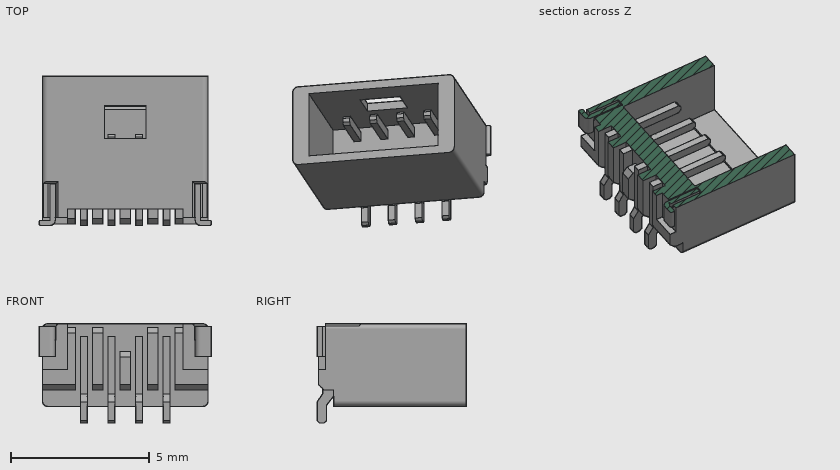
import cadquery as cq


HOUSING_WIDTH = 6.0
HOUSING_HEIGHT = 3.0
MOUTH_Y = 5.41
REAR_WALL_Y = 0.6
CORNER_RADIUS = 0.2
HALF_WIDTH = HOUSING_WIDTH / 2

SIDE_WALL = 0.6
ROOF = 0.3
FLOOR = 0.3
CAVITY_START_Y = 1.5
FLOOR_STEP = 0.1
FLOOR_STEP_Y = 4.305

WINDOW_WIDTH = 1.485
WINDOW_START_Y = 3.16
WINDOW_END_Y = 4.35

PITCH = 1.0
RIB_WIDTH = 0.38
END_RIB_CENTER_X = 2 * PITCH
RIB_REAR_Y = 0.05
RIB_BOTTOM = 0.6
RIB_CHAMFER = 0.2
TALL_RIB_TOP = 2.86
SHORT_RIB_TOP = 1.995
CORNER_INNER_X = 2.09
CORNER_REAR_Y = 0.3
LEDGE_TOP = 1.335

CONTACT_COUNT = 4
CONTACT_WIDTH = 0.255
CONTACT_REAR_Y = 0.2
CONTACT_TOP = 2.54
CONTACT_THICKNESS = 0.35
CONTACT_TIP_Y = 3.3
CONTACT_TIP_CHAMFER = 0.1
TAIL_BOTTOM = -0.6
TAIL_CHAMFER = 0.095
TAIL_BEND_REAR_TOP = 0.46
TAIL_BEND_REAR_BOTTOM = 0.17
TAIL_BEND_INNER_TOP = 0.37
TAIL_BEND_INNER_BOTTOM = 0.05

TAB_OUTER_X = 3.12
TAB_INNER_X = 2.535
TAB_THICKNESS = 0.195
TAB_LENGTH = 1.5
TAB_TOP = 2.9
TAB_BOTTOM = 1.805
TAB_END_RADIUS = 0.06
TAB_BEND_RADIUS = TAB_THICKNESS
SLOT_OUTER_X = 2.795
SLOT_INNER_X = 2.51
SLOT_END_Y = 1.52
SLOT_FLOOR = 2.4
LEAD_IN = 0.08


def block(x_range, y_range, z_range):
    """Box between the given limits on each axis."""
    size = [high - low for low, high in (x_range, y_range, z_range)]
    corner = (x_range[0], y_range[0], z_range[0])
    return cq.Workplane("XY").box(*size, centered=False).translate(corner)


def side_profile(points, center_x, width):
    """Extrude a (y, z) outline along X, centred on center_x."""
    outline = cq.Workplane("YZ").polyline(points).close()
    return outline.extrude(width / 2, both=True).translate((center_x, 0, 0))


def make_shell():
    """Rounded housing whose upper rear corners reach back past the rear wall."""
    shell = block((-HALF_WIDTH, HALF_WIDTH), (CORNER_REAR_Y, MOUTH_Y), (0, HOUSING_HEIGHT))
    shell = shell.edges("|Y").fillet(CORNER_RADIUS)
    rear = (CORNER_REAR_Y, REAR_WALL_Y)
    shell = shell.cut(block((-HALF_WIDTH, HALF_WIDTH), rear, (0, RIB_BOTTOM)))
    return shell.cut(block((-CORNER_INNER_X, CORNER_INNER_X), rear, (0, HOUSING_HEIGHT)))


def make_cavity():
    """Space inside the shell, with a sloped step down in the floor near the mouth."""
    inner_floor = FLOOR + FLOOR_STEP
    roof_underside = HOUSING_HEIGHT - ROOF
    points = [
        (CAVITY_START_Y, roof_underside),
        (CAVITY_START_Y, inner_floor),
        (FLOOR_STEP_Y - FLOOR_STEP, inner_floor),
        (FLOOR_STEP_Y, FLOOR),
        (MOUTH_Y, FLOOR),
        (MOUTH_Y, roof_underside),
    ]
    return side_profile(points, 0, HOUSING_WIDTH - 2 * SIDE_WALL)


def make_window():
    """Rectangular latch opening through the roof."""
    return block(
        (-WINDOW_WIDTH / 2, WINDOW_WIDTH / 2),
        (WINDOW_START_Y, WINDOW_END_Y),
        (HOUSING_HEIGHT - ROOF, HOUSING_HEIGHT),
    )


def make_rib(center_x, top, width=RIB_WIDTH):
    """Rear rib chamfered at its top and bottom rear edges."""
    points = [
        (REAR_WALL_Y, RIB_BOTTOM),
        (RIB_REAR_Y + RIB_CHAMFER, RIB_BOTTOM),
        (RIB_REAR_Y, RIB_BOTTOM + RIB_CHAMFER),
        (RIB_REAR_Y, top - RIB_CHAMFER),
        (RIB_REAR_Y + RIB_CHAMFER, top),
        (REAR_WALL_Y, top),
    ]
    return side_profile(points, center_x, width)


def make_end_rib():
    """Outermost rib on the -X side, cut short in width by the corner block."""
    inner_x = END_RIB_CENTER_X - RIB_WIDTH / 2
    center_x = -(CORNER_INNER_X + inner_x) / 2
    return make_rib(center_x, TALL_RIB_TOP, CORNER_INNER_X - inner_x)


def make_ledge():
    """Ledge below the solder tab on the -X side, from the housing side to the end rib."""
    points = [
        (REAR_WALL_Y, RIB_BOTTOM),
        (RIB_REAR_Y + RIB_CHAMFER, RIB_BOTTOM),
        (RIB_REAR_Y, RIB_BOTTOM + RIB_CHAMFER),
        (RIB_REAR_Y, LEDGE_TOP),
        (REAR_WALL_Y, LEDGE_TOP),
    ]
    width = HALF_WIDTH - CORNER_INNER_X
    return side_profile(points, -HALF_WIDTH + width / 2, width)


def make_contact(center_x):
    """Contact blade in the cavity, upright leg on the rear wall and cranked tail."""
    tail_inner_y = CONTACT_THICKNESS
    blade_bottom = CONTACT_TOP - CONTACT_THICKNESS
    points = [
        (CONTACT_REAR_Y, CONTACT_TOP),
        (CONTACT_REAR_Y, TAIL_BEND_REAR_TOP),
        (0, TAIL_BEND_REAR_BOTTOM),
        (0, TAIL_BOTTOM + TAIL_CHAMFER),
        (TAIL_CHAMFER, TAIL_BOTTOM),
        (tail_inner_y - TAIL_CHAMFER, TAIL_BOTTOM),
        (tail_inner_y, TAIL_BOTTOM + TAIL_CHAMFER),
        (tail_inner_y, TAIL_BEND_INNER_BOTTOM),
        (REAR_WALL_Y, TAIL_BEND_INNER_TOP),
        (REAR_WALL_Y, blade_bottom),
        (CONTACT_TIP_Y - CONTACT_TIP_CHAMFER, blade_bottom),
        (CONTACT_TIP_Y, blade_bottom + CONTACT_TIP_CHAMFER),
        (CONTACT_TIP_Y, CONTACT_TOP - CONTACT_TIP_CHAMFER),
        (CONTACT_TIP_Y - CONTACT_TIP_CHAMFER, CONTACT_TOP),
    ]
    return side_profile(points, center_x, CONTACT_WIDTH)


def make_tab_slot():
    """Slot for the -X solder tab, with a sloped lead-in that runs out at the side."""
    slot = block(
        (-SLOT_OUTER_X, -SLOT_INNER_X),
        (CORNER_REAR_Y, SLOT_END_Y),
        (SLOT_FLOOR, HOUSING_HEIGHT),
    )
    lead_in_floor = HOUSING_HEIGHT - LEAD_IN

    def lead_in_outline(growth):
        """Lead-in outline with its inner and end sides moved outwards by growth."""
        inner_x = -SLOT_INNER_X + growth
        end_y = SLOT_END_Y + growth
        return [(-TAB_OUTER_X, 0), (inner_x, 0), (inner_x, end_y), (-TAB_OUTER_X, end_y)]

    lead_in = (
        cq.Workplane("XY", origin=(0, 0, lead_in_floor))
        .polyline(lead_in_outline(0)).close()
        .workplane(offset=LEAD_IN)
        .polyline(lead_in_outline(LEAD_IN)).close()
        .loft(ruled=True)
    )
    return slot.union(lead_in)


def make_tab():
    """L-shaped solder tab on the -X side."""
    tab_z = (TAB_BOTTOM, TAB_TOP)
    leg = block((-TAB_INNER_X - TAB_THICKNESS, -TAB_INNER_X), (0, TAB_LENGTH), tab_z)
    foot = block((-TAB_OUTER_X, -TAB_INNER_X), (0, TAB_THICKNESS), tab_z)
    foot = foot.faces("<X").edges("|Z").fillet(TAB_END_RADIUS)
    tab = leg.union(foot)
    outer_corner = cq.NearestToPointSelector((-TAB_INNER_X, 0, TAB_TOP))
    return tab.edges("|Z").edges(outer_corner).fillet(TAB_BEND_RADIUS)


def both_sides(shape):
    """The -X shape together with its mirror image on the +X side."""
    return shape.union(shape.mirror("YZ"))


housing = make_shell().cut(make_cavity()).cut(make_window())
housing = housing.union(both_sides(make_ledge()))
housing = housing.cut(both_sides(make_tab_slot()))
result = housing.union(both_sides(make_tab()))

result = result.union(make_rib(0, SHORT_RIB_TOP))
result = result.union(both_sides(make_rib(-PITCH, TALL_RIB_TOP)))
result = result.union(both_sides(make_end_rib()))

first_contact_x = -PITCH * (CONTACT_COUNT - 1) / 2
for index in range(CONTACT_COUNT):
    result = result.union(make_contact(first_contact_x + index * PITCH))